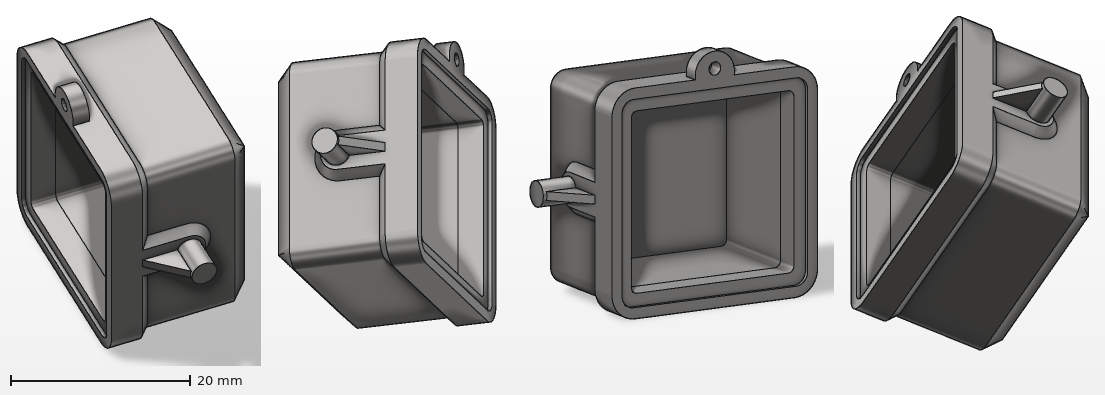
import cadquery as cq
import math

SPAN = 35.0
DEPTH = 17.5

RIM_SIDE = 26.5
RIM_RADIUS = 3.0
RIM_DEPTH = 3.8
RIM_STEP = 1.0
BODY_SIDE = RIM_SIDE - 2 * RIM_STEP
BACK_CHAMFER = RIM_RADIUS - RIM_STEP

CAVITY_SIDE = 20.93
CAVITY_RADIUS = 0.75
FLOOR = 2.0
SEAT_MARGIN = 1.3
SEAT_SIDE = RIM_SIDE - 2 * SEAT_MARGIN
SEAT_RADIUS = 1.5
GASKET_RECESS = 0.5
GASKET_THICKNESS = 3.0

PIN_DIAMETER = 3.0
PIN_Y = 9.5
PAD_TOP_RADIUS = 2.0
RIB_THICKNESS = 1.0
RIB_INSET = 0.42

LUG_RADIUS = 2.52
LUG_DEPTH = 2.0
LUG_HEIGHT = 3.0
LUG_HOLE_DIAMETER = 1.5
LUG_HOLE_RISE = 1.0


def square_block(side, radius, start, depth):
    """Square block with rounded corners, running along +Y from the given start."""
    block = cq.Workplane("XY").box(side, depth, side).edges("|Y").fillet(radius)
    return block.translate((0, start + depth / 2, 0))


def flared_end(small_side, small_radius, small_y, flare, toward):
    """45 degree frustum that grows by the flare on each side while running along Y."""
    half = small_side / 2 - small_radius
    large_radius = small_radius + flare
    direction = cq.Vector(0, toward, 0)
    end = None
    for x in (-half, half):
        for z in (-half, half):
            cone = cq.Workplane(obj=cq.Solid.makeCone(
                small_radius, large_radius, flare, cq.Vector(x, small_y, z), direction))
            end = cone if end is None else end.union(cone)
    profile = [
        (-half - small_radius, small_y),
        (half + small_radius, small_y),
        (half + large_radius, small_y + toward * flare),
        (-half - large_radius, small_y + toward * flare),
    ]
    slab = cq.Workplane("XY").polyline(profile).close().extrude(half, both=True)
    return end.union(slab).union(slab.rotate((0, 0, 0), (0, 1, 0), 90))


def make_shell():
    """Rim, stepped body and chamfered back, before the cavity is cut."""
    rim = square_block(RIM_SIDE, RIM_RADIUS, 0, RIM_DEPTH)
    body = square_block(BODY_SIDE, BACK_CHAMFER, 0, DEPTH - BACK_CHAMFER)
    step = flared_end(BODY_SIDE, BACK_CHAMFER, RIM_DEPTH + RIM_STEP, RIM_STEP, -1)
    back = flared_end(BODY_SIDE - 2 * BACK_CHAMFER, 0, DEPTH, BACK_CHAMFER, -1)
    return rim.union(body).union(step).union(back)


def make_pad():
    """Raised pad on the +X side: a half cone at the pin, straight sloping flanks to the rim."""
    base_x = BODY_SIDE / 2
    top_x = RIM_SIDE / 2
    base_radius = PAD_TOP_RADIUS + RIM_STEP
    cone = cq.Workplane(obj=cq.Solid.makeCone(
        base_radius, PAD_TOP_RADIUS, RIM_STEP, cq.Vector(base_x, PIN_Y, 0), cq.Vector(1, 0, 0)))
    flanks = (
        cq.Workplane("XZ", origin=(0, PIN_Y, 0))
        .polyline([(base_x, -base_radius), (top_x, -PAD_TOP_RADIUS),
                   (top_x, PAD_TOP_RADIUS), (base_x, base_radius)])
        .close()
        .extrude(PIN_Y - RIM_DEPTH)
    )
    return cone.union(flanks)


def make_pin_support():
    """Pad, pin and bracing rib on the +X side."""
    wall_x = BODY_SIDE / 2
    face_x = RIM_SIDE / 2
    pin = (
        cq.Workplane("YZ", origin=(wall_x, PIN_Y, 0))
        .circle(PIN_DIAMETER / 2)
        .extrude(SPAN / 2 - wall_x)
    )
    tip_x = SPAN / 2 - RIB_INSET
    pin_edge_y = PIN_Y - math.sqrt((PIN_DIAMETER / 2) ** 2 - (RIB_THICKNESS / 2) ** 2)
    rib = (
        cq.Workplane("XY")
        .polyline([(face_x, RIM_DEPTH), (tip_x, pin_edge_y), (tip_x, PIN_Y),
                   (wall_x, PIN_Y), (wall_x, RIM_DEPTH)])
        .close()
        .extrude(RIB_THICKNESS / 2, both=True)
    )
    return make_pad().union(pin).union(rib)


def make_lug():
    """Round-topped lug with a small hole above the rim."""
    rim_top = RIM_SIDE / 2
    arc_z = rim_top + LUG_HEIGHT - LUG_RADIUS
    foot_z = rim_top - SEAT_MARGIN / 2
    return (
        cq.Workplane("XZ")
        .moveTo(-LUG_RADIUS, foot_z)
        .lineTo(-LUG_RADIUS, arc_z)
        .threePointArc((0, rim_top + LUG_HEIGHT), (LUG_RADIUS, arc_z))
        .lineTo(LUG_RADIUS, foot_z)
        .close()
        .moveTo(0, rim_top + LUG_HOLE_RISE)
        .circle(LUG_HOLE_DIAMETER / 2)
        .extrude(-LUG_DEPTH)
    )


def make_housing():
    """Hollow housing with its pins, lug and gasket seat."""
    support = make_pin_support()
    housing = make_shell().union(make_lug()).union(support).union(support.mirror("YZ"))
    cavity = square_block(CAVITY_SIDE, CAVITY_RADIUS, 0, DEPTH - FLOOR)
    seat = square_block(SEAT_SIDE, SEAT_RADIUS, 0, GASKET_RECESS + GASKET_THICKNESS)
    return housing.cut(cavity).cut(seat)


def make_gasket():
    """Square ring that fills the seat, set back slightly from the rim face."""
    ring = square_block(SEAT_SIDE, SEAT_RADIUS, GASKET_RECESS, GASKET_THICKNESS)
    opening = square_block(CAVITY_SIDE, CAVITY_RADIUS, GASKET_RECESS, GASKET_THICKNESS)
    return ring.cut(opening)


housing = make_housing()
gasket = make_gasket()
result = cq.Compound.makeCompound([housing.val(), gasket.val()])